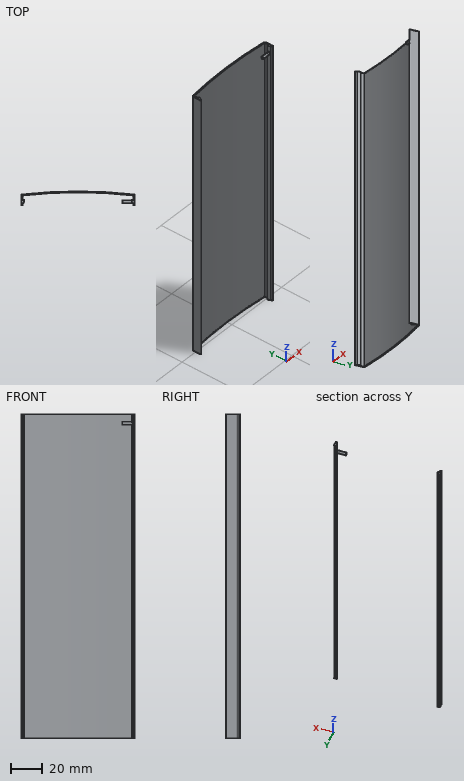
import cadquery as cq
import math

width = 73.0
depth = 9.0
height = 208.0
arch_radius = 323.0
arch_wall = 0.8
flange_wall = 1.0
corner_radius = 1.0
tip_outer_radius = 0.2
tip_inner_radius = 0.4

bead_reach = 1.95
bead_ledge_drop = 5.6
bead_nose_drop = 6.5
bead_nose_radius = 1.5

pin_diameter = 2.0
pin_reach = 8.0
pin_root_depth = 0.7
pin_drop = 6.7
pin_end_distance = 6.0

edge_margin = 0.05

half_width = width / 2
flange_inner_x = half_width - flange_wall
bead_crest_x = half_width - bead_reach


def arched_bar(half_span, radius, drop):
    """Bar of the cover's length with an arched back and a flat front at Y = -drop.

    Every back is centred on the arch axis at Y = -arch_radius; the crown of the cover is at Y = 0.
    """
    shoulder_y = math.sqrt(radius**2 - half_span**2) - arch_radius
    return (
        cq.Workplane("XY")
        .moveTo(-half_span, -drop)
        .lineTo(-half_span, shoulder_y)
        .threePointArc((0, radius - arch_radius), (half_span, shoulder_y))
        .lineTo(half_span, -drop)
        .close()
        .extrude(height)
    )


def make_channel():
    """Arched sheet with its two plain flanges."""
    outside = arched_bar(half_width, arch_radius, depth)
    outside = outside.edges("|Z and (not <Y)").fillet(corner_radius)
    inside = arched_bar(flange_inner_x, arch_radius - arch_wall, depth)
    channel = outside.cut(inside)
    channel = channel.edges("|Z and <Y").edges("<X or >X").fillet(tip_outer_radius)
    inner_tip_edges = cq.selectors.BoxSelector(
        (-flange_inner_x - edge_margin, -depth - edge_margin, -edge_margin),
        (flange_inner_x + edge_margin, -depth + edge_margin, height + edge_margin),
    )
    return channel.edges("|Z").edges(inner_tip_edges).fillet(tip_inner_radius)


def make_bead(side):
    """Bead on the flange at side = 1 (+X) or -1 (-X): square ledge, flat crest, rounded nose."""
    nose_angle = math.acos(1 - (flange_inner_x - bead_crest_x) / bead_nose_radius)

    def nose_point(angle):
        x = bead_crest_x + bead_nose_radius * (1 - math.cos(angle))
        return side * x, -bead_nose_drop - bead_nose_radius * math.sin(angle)

    return (
        cq.Workplane("XY")
        .moveTo(side * flange_inner_x, -bead_ledge_drop)
        .lineTo(side * bead_crest_x, -bead_ledge_drop)
        .lineTo(*nose_point(0))
        .threePointArc(nose_point(nose_angle / 2), nose_point(nose_angle))
        .close()
        .extrude(height)
    )


def make_pin():
    """Round pin along X, its root sunk into the +X bead."""
    free_end = (half_width - pin_reach, -pin_drop, height - pin_end_distance)
    length = pin_reach - bead_reach + pin_root_depth
    return cq.Workplane("YZ", origin=free_end).circle(pin_diameter / 2).extrude(length)


pin = make_pin()

cover = make_channel()
for side in (-1, 1):
    cover = cover.union(make_bead(side))
cover = cover.cut(pin)

result = cq.Compound.makeCompound([cover.val(), pin.val()])